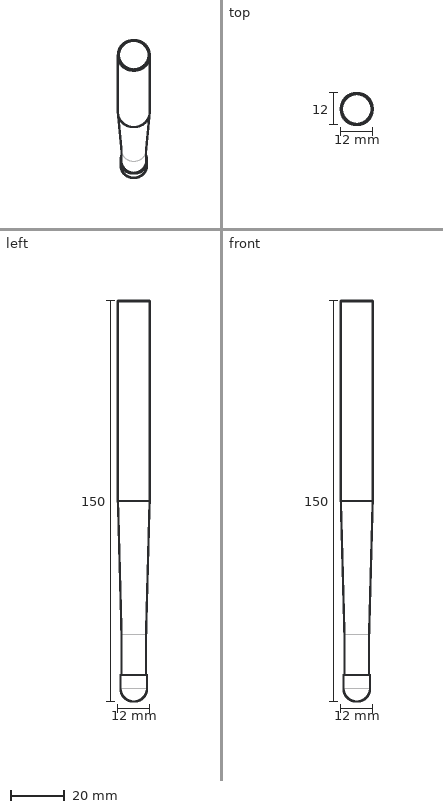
import cadquery as cq
import math

total_length = 150.0
shank_diameter = 12.0
shank_length = 75.0
shank_chamfer = 0.5
ball_diameter = 10.0
neck_diameter = 9.3
neck_length = 15.0

shank_radius = shank_diameter / 2
ball_radius = ball_diameter / 2
neck_radius = neck_diameter / 2

shank_bottom = total_length - shank_length
head_top = ball_diameter
taper_bottom = head_top + neck_length


def make_head():
    """Cutting head: a hemispherical nose below a short cylindrical rim."""
    arc_offset = ball_radius * math.sqrt(0.5)
    return (
        cq.Workplane("XZ")
        .moveTo(0, 0)
        .threePointArc((arc_offset, ball_radius - arc_offset), (ball_radius, ball_radius))
        .lineTo(ball_radius, head_top)
        .lineTo(0, head_top)
        .close()
        .revolve(360, (0, 0), (0, 1))
    )


def make_neck():
    """Neck: a straight cylinder that widens in a long cone to the shank diameter."""
    return (
        cq.Workplane("XZ")
        .moveTo(0, head_top)
        .lineTo(neck_radius, head_top)
        .lineTo(neck_radius, taper_bottom)
        .lineTo(shank_radius, shank_bottom)
        .lineTo(0, shank_bottom)
        .close()
        .revolve(360, (0, 0), (0, 1))
    )


def make_shank():
    """Clamping shank: a plain cylinder with a chamfered top edge."""
    return (
        cq.Workplane("XY")
        .workplane(offset=shank_bottom)
        .circle(shank_radius)
        .extrude(shank_length)
        .faces(">Z")
        .chamfer(shank_chamfer)
    )


head = make_head()
neck = make_neck()
shank = make_shank()

result = cq.Compound.makeCompound([head.val(), neck.val(), shank.val()])